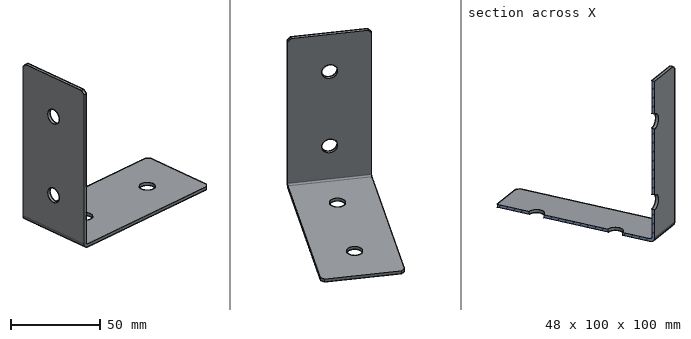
import cadquery as cq

width = 48.0
leg_length = 100.0
thickness = 2.0
inner_bend_radius = 1.0
outer_bend_radius = inner_bend_radius + thickness

hole_diameter = 9.0
hole_distances = (25.0, 75.0)
corner_chamfer = 2.0

bracket = (
    cq.Workplane("YZ")
    .polyline([
        (0, 0),
        (leg_length, 0),
        (leg_length, thickness),
        (thickness, thickness),
        (thickness, leg_length),
        (0, leg_length),
    ])
    .close()
    .extrude(width / 2, both=True)
)

bend_edge = cq.selectors.NearestToPointSelector
bracket = bracket.edges(bend_edge((0, thickness, thickness))).fillet(inner_bend_radius)
bracket = bracket.edges(bend_edge((0, 0, 0))).fillet(outer_bend_radius)

bracket = bracket.faces(">Y").edges("|Z").chamfer(corner_chamfer)
bracket = bracket.faces(">Z").edges("|Y").chamfer(corner_chamfer)


def leg_holes(plane, depth):
    """Cylinders along the centre line of a leg, starting at its outer face."""
    centres = [(0, distance) for distance in hole_distances]
    return cq.Workplane(plane).pushPoints(centres).circle(hole_diameter / 2).extrude(depth)


bracket = bracket.cut(leg_holes("XY", thickness))
bracket = bracket.cut(leg_holes("XZ", -thickness))

result = bracket